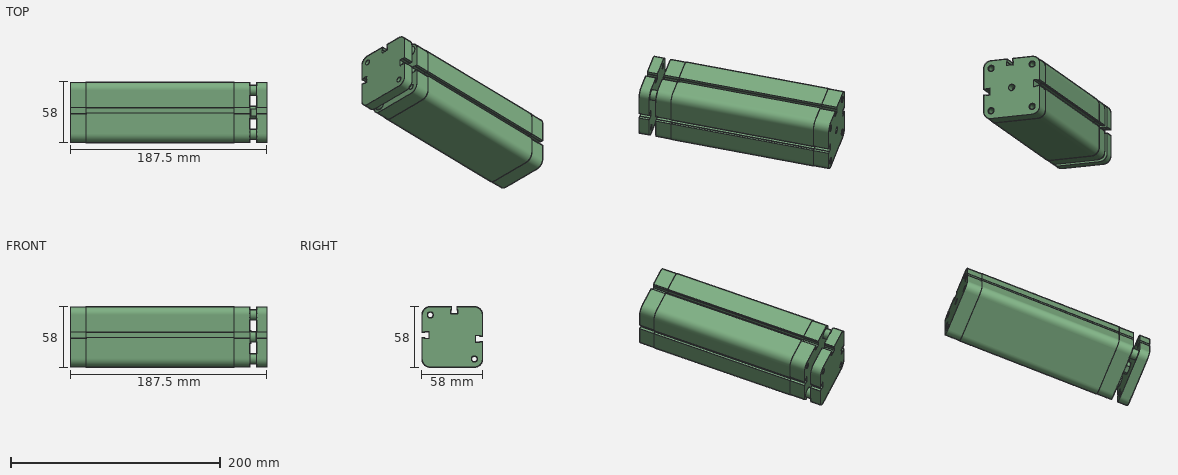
import cadquery as cq

total_length = 187.5
cap_length = 15.0
barrel_length = 141.0
plate_thickness = 10.0
barrel_start = cap_length
barrel_end = barrel_start + barrel_length
front_cap_end = barrel_end + cap_length
plate_start = total_length - plate_thickness

barrel_width = 58.0
cap_width = 57.4
corner_offset = 21.0

slot_offset = 1.85
slot_floor_height = 22.3
cap_mouth_width = 5.7
cap_slot_inner_width = 6.6
cap_slot_lip_height = 25.8
barrel_mouth_width = 5.0
barrel_slot_inner_width = 6.2
barrel_slot_lip_height = 26.4
slot_side_angles = (-90, 0, 90)

screw_hole_diameter = 5.2
countersink_diameter = 6.2
countersink_depth = (countersink_diameter - screw_hole_diameter) / 2
center_hole_diameter = 6.2
center_hole_depth = 10.0

guide_diameter = 10.0
rod_diameter = 12.0
rod_flat_size = 10.0
rod_flat_start = front_cap_end + 1.2
rod_chamfer = 0.5

guide_places = [(corner_offset, corner_offset), (-corner_offset, -corner_offset)]
screw_places = [(-corner_offset, corner_offset), (corner_offset, -corner_offset)]


def section_at(x):
    """Workplane facing +X at x, with local axes along Y and Z."""
    return cq.Workplane("YZ", origin=(x, 0, 0))


def cylinders(x, length, diameter, places):
    return section_at(x).pushPoints(places).circle(diameter / 2).extrude(length)


def slot_cutter(x, length, mouth_width, inner_width, lip_height):
    """Slot in the +Z side: a wide part at the floor and a narrower mouth."""
    top = barrel_width / 2 + 1.0
    mouth_height = top - slot_floor_height
    inner_height = lip_height - slot_floor_height
    mouth = (
        section_at(x)
        .center(slot_offset, slot_floor_height + mouth_height / 2)
        .rect(mouth_width, mouth_height)
        .extrude(length)
    )
    inner = (
        section_at(x)
        .center(slot_offset, slot_floor_height + inner_height / 2)
        .rect(inner_width, inner_height)
        .extrude(length)
    )
    return mouth.union(inner)


def slotted_block(x, length, width, slot):
    """Square block with rounded long edges, three slots and two through holes."""
    block = section_at(x).rect(width, width).extrude(length)
    block = block.edges("|X").fillet(width / 2 - corner_offset)
    for angle in slot_side_angles:
        block = block.cut(slot.rotate((0, 0, 0), (1, 0, 0), angle))
    return block.cut(cylinders(x, length, screw_hole_diameter, screw_places))


def cap_block(x, length):
    """Slotted block with the smaller section shared by both caps and the plate."""
    slot = slot_cutter(x, length, cap_mouth_width, cap_slot_inner_width, cap_slot_lip_height)
    return slotted_block(x, length, cap_width, slot)


def make_rear_cap():
    cap = cap_block(0, cap_length)
    cap = cap.cut(cylinders(0, cap_length, screw_hole_diameter, guide_places))
    for y, z in guide_places + screw_places:
        countersink = cq.Solid.makeCone(
            countersink_diameter / 2,
            screw_hole_diameter / 2,
            countersink_depth,
            pnt=cq.Vector(0, y, z),
            dir=cq.Vector(1, 0, 0),
        )
        cap = cap.cut(cq.Workplane(countersink))
    return cap.cut(cylinders(0, center_hole_depth, center_hole_diameter, [(0, 0)]))


def make_barrel():
    slot = slot_cutter(
        barrel_start, barrel_length, barrel_mouth_width, barrel_slot_inner_width, barrel_slot_lip_height
    )
    return slotted_block(barrel_start, barrel_length, barrel_width, slot)


def make_front_cap():
    cap = cap_block(barrel_end, cap_length)
    cap = cap.cut(cylinders(barrel_end, cap_length, guide_diameter, guide_places))
    return cap.cut(cylinders(barrel_end, cap_length, rod_diameter, [(0, 0)]))


def make_piston_rod():
    """Rod from the barrel to the plate, with two wrench flats facing +Z and -Z."""
    rod = cylinders(barrel_end, plate_start - barrel_end, rod_diameter, [(0, 0)])
    rod = rod.faces(">X").chamfer(rod_chamfer)
    flat_zone = section_at(rod_flat_start).rect(rod_diameter, rod_diameter)
    flat_zone = flat_zone.rect(rod_diameter, rod_flat_size)
    return rod.cut(flat_zone.extrude(plate_start - rod_flat_start))


def make_guided_plate():
    """Front plate and its two guide rods, which reach back through the front cap."""
    plate = cap_block(plate_start, plate_thickness)
    guides = cylinders(barrel_end, plate_start - barrel_end, guide_diameter, guide_places)
    return plate.union(guides)


rear_cap = make_rear_cap()
barrel = make_barrel()
front_cap = make_front_cap()
piston_rod = make_piston_rod()
guided_plate = make_guided_plate()

result = cq.Compound.makeCompound(
    [rear_cap.val(), barrel.val(), front_cap.val(), piston_rod.val(), guided_plate.val()]
)